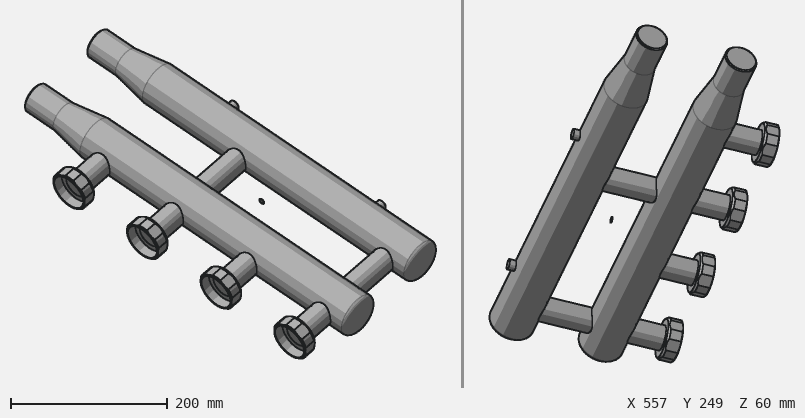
import cadquery as cq
import math

header_length = 557.0
header_radius = 30.0
header_spacing = 120.5
spigot_radius = 21.0
spigot_length = 49.0
spigot_chamfer = 1.5
cone_end = 102.5

dish_depth = 10.0
dish_wall_reach = 8.0
dish_crown_reach = 14.5

branch_radius = 16.5
branch_count = 4
branch_span = 375.5
branch_pitch = branch_span / (branch_count - 1)
first_branch_x = 137.0
branch_xs = [first_branch_x + i * branch_pitch for i in range(branch_count)]
link_xs = branch_xs[1::2]

vent_xs = [x + branch_pitch / 2 for x in branch_xs[0::2]]
vent_reach = 38.5
vent_diameter = 14.0

nut_front_y = -90.0
nut_length = 20.0
nut_back_y = nut_front_y + nut_length
nut_across_flats = 53.5
nut_corner_radius = 28.0
nut_front_chamfer_depth = 1.5
nut_front_chamfer_length = 1.0
nut_back_chamfer_depth = 2.0
nut_back_chamfer_length = 3.5
nut_bore_radius = 24.5
nut_bore_depth = 14.0
branch_end_y = nut_front_y + nut_bore_depth

disc_x = 332.5
disc_z = 1.5
disc_radius = 4.0
disc_thickness = 0.5


def cylinder_along_y(x, y_start, y_end, radius):
    """Cylinder on the header plane, running from y_start to y_end (y_end is the larger)."""
    plane = cq.Workplane("XZ", origin=(x, y_end, 0))
    return plane.circle(radius).extrude(y_end - y_start)


def header_run():
    """Spigot, cone, main tube and dished end, revolved about the X axis."""
    dish_start = header_length - dish_depth
    dish_curve = [
        (dish_start, header_radius),
        (dish_start + dish_wall_reach, header_radius),
        (header_length, dish_crown_reach),
        (header_length, 0),
    ]
    profile = (
        cq.Workplane("XY")
        .moveTo(0, 0)
        .lineTo(0, spigot_radius - spigot_chamfer)
        .lineTo(spigot_chamfer, spigot_radius)
        .lineTo(spigot_length, spigot_radius)
        .lineTo(cone_end, header_radius)
        .lineTo(dish_start, header_radius)
        .bezier(dish_curve)
        .close()
    )
    return profile.revolve(360, (0, 0, 0), (1, 0, 0))


def make_front_header():
    """Front header with the four branch pipes that carry the nuts."""
    header = header_run()
    for x in branch_xs:
        header = header.union(cylinder_along_y(x, branch_end_y, 0, branch_radius))
    return header


def make_rear_header(front_header):
    """Rear header with its vents and the link pipes, which end on the front header's surface."""
    header = header_run().translate((0, header_spacing, 0))
    for x in link_xs:
        link = cylinder_along_y(x, 0, header_spacing, branch_radius)
        header = header.union(link.cut(front_header))
    vent_end_y = header_spacing + vent_reach
    for x in vent_xs:
        header = header.union(cylinder_along_y(x, header_spacing, vent_end_y, vent_diameter / 2))
    return header


def nut_chamfer_blank(x):
    """Round blank that rounds the nut's corners and chamfers them with its conical ends."""
    base = cylinder_along_y(x, nut_front_y, nut_back_y, nut_corner_radius)
    front_chamfered = base.faces("<Y").chamfer(nut_front_chamfer_length, nut_front_chamfer_depth)
    return front_chamfered.faces(">Y").chamfer(nut_back_chamfer_length, nut_back_chamfer_depth)


def make_nut(x):
    """Hexagonal union nut: rounded and chamfered corners, open bore and a branch pipe hole."""
    across_corners = nut_across_flats / math.cos(math.pi / 6)
    hexagon = (
        cq.Workplane("XZ", origin=(x, nut_back_y, 0))
        .transformed(rotate=(0, 0, 90))
        .polygon(6, across_corners)
        .extrude(nut_length)
    )
    bore = cylinder_along_y(x, nut_front_y, branch_end_y, nut_bore_radius)
    pipe_hole = cylinder_along_y(x, branch_end_y, nut_back_y, branch_radius)
    return hexagon.intersect(nut_chamfer_blank(x)).cut(bore).cut(pipe_hole)


def make_disc():
    """Thin disc standing upright, midway between the headers."""
    y_start = (header_spacing - disc_thickness) / 2
    disc_on_axis = cylinder_along_y(disc_x, y_start, y_start + disc_thickness, disc_radius)
    return disc_on_axis.translate((0, 0, disc_z))


front_header = make_front_header()
rear_header = make_rear_header(front_header)
nuts = [make_nut(x) for x in branch_xs]
disc = make_disc()

result = cq.Compound.makeCompound(
    [front_header.val(), rear_header.val(), *[nut.val() for nut in nuts], disc.val()]
)